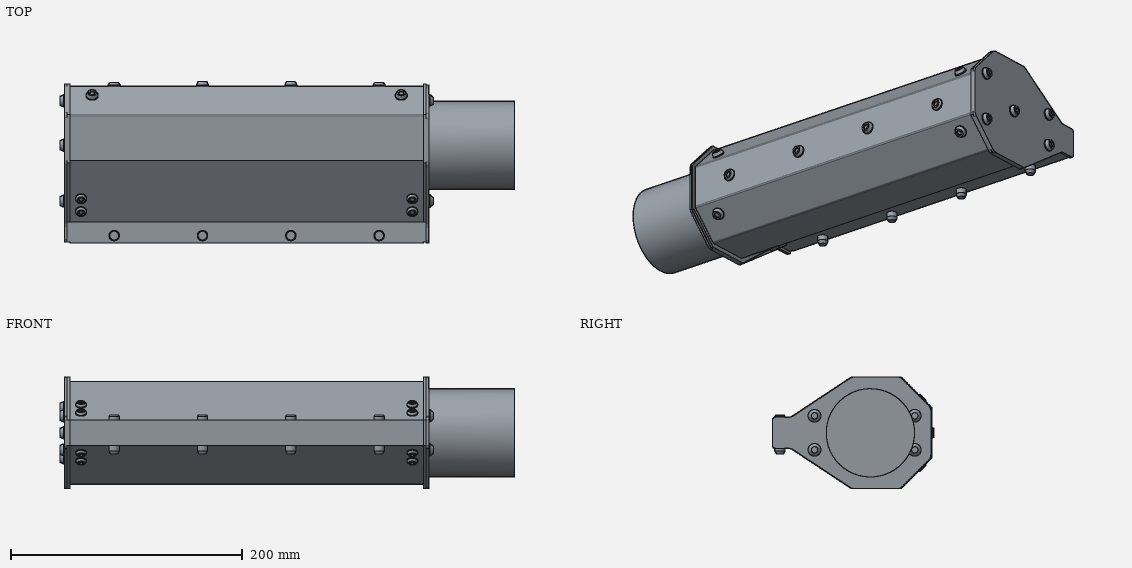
import cadquery as cq
import math

plate_thickness = 2.4
body_length = 304.8
total_length = 392.43
total_height = 96.52
body_start = 2 * plate_thickness
body_end = body_start + body_length
caps_end = body_end + 2 * plate_thickness
body_middle = (body_start + body_end) / 2

plate_half_height = total_height / 2
plate_back = 53.0
plate_tip = -83.7
plate_bevel = 26.5
cap_lip_half = 13.5
cap_lip_root = -68.0
plate_shoulder = (-15.4, plate_half_height)
body_half_height = 44.45
body_back = 51.06
body_tip = -84.6
body_bevel = 25.2
body_bend_radius = 2.0
lip_half = 11.0
lip_root = -66.4
body_shoulder = (-13.2, body_half_height)

body_half = [
    (body_back, body_half_height - body_bevel),
    (body_back - body_bevel, body_half_height),
    body_shoulder,
    (lip_root, lip_half),
    (body_tip, lip_half),
]
plate_back_half = [
    (plate_back, plate_half_height - plate_bevel),
    (plate_back - plate_bevel, plate_half_height),
    plate_shoulder,
]
flange_half = plate_back_half + [(lip_root, lip_half), (plate_tip, lip_half)]
cap_half = plate_back_half + [(cap_lip_root, cap_lip_half), (plate_tip, cap_lip_half)]
cap_corner_radius = 6.0
cap_tip_radius = 2.4
right_cap_drop = 0.9
select_margin = 1.0

tube_diameter = 76.2

M6_HEAD = (10.5, 7.6, 4.0, 1.0, 5.0)
LOW_M6_HEAD = (10.5, 7.6, 3.1, 1.0, 5.0)
M5_HEAD = (9.5, 6.5, 2.75, 0.8, 4.4)
FLANGE_HEAD = (11.0, 5.5, 4.2, 0.8, 0)
LIP_HEAD = (9.0, 7.6, 4.2, 3.2, 0)
LIP_NUT = (9.0, 6.0, 7.4, 4.5, 0)
head_height = M6_HEAD[2]
socket_depth = 1.5
head_root = 1.0
tube_end = total_length - head_height

back_screws = (38.3, 21.7)
front_screws = (-48.2, 14.7)
right_back_screws = (38.3, 14.7)
row_pitch = 76.2
row_count = 4
lip_row_y = -78.0
slope_screw_inset = 9.525
slope_screw_count = 2
slope_screw_spacing = 13.2
slope_screw_margin = 11.0
bevel_screw_inset = 19.05
bevel_screw_y = 42.5


def prism(half_outline, start, length):
    """Extrude an outline, given by its upper half, along X."""
    lower = [(y, -z) for y, z in reversed(half_outline)]
    outline = cq.Workplane("YZ", origin=(start, 0, 0)).polyline(half_outline + lower).close()
    return outline.extrude(length)


def body():
    """Housing with small bends at the bevelled back corners."""
    housing = prism(body_half, body_start, body_length)
    bend_zone = cq.selectors.BoxSelector(
        (body_start, 0, -total_height), (body_end, body_back + select_margin, total_height)
    )
    return housing.edges("|X").edges(bend_zone).fillet(body_bend_radius)


def cap(start):
    """Outer end cap with rounded corners."""
    plate = prism(cap_half, start, plate_thickness)
    plate = plate.edges("|X and <Y").fillet(cap_tip_radius)
    outline_corners = cq.selectors.BoxSelector(
        (start, cap_lip_root - select_margin, -total_height),
        (start + plate_thickness, plate_back + select_margin, total_height),
    )
    return plate.edges("|X").edges(outline_corners).fillet(cap_corner_radius)


def screw(size, base, normal):
    """Tapered screw head standing on a face at base and pointing along normal."""
    base_diameter, face_diameter, height, rim, socket = size
    plane = cq.Plane(origin=base, xDir=(1, 0, 0) if normal[0] == 0 else (0, 1, 0), normal=normal)
    half = [
        (0, -head_root),
        (base_diameter / 2, -head_root),
        (base_diameter / 2, rim),
        (face_diameter / 2, height),
        (0, height),
    ]
    head = cq.Workplane("XY").polyline(half).close().revolve(360, (0, 0, 0), (0, 1, 0))
    head = head.rotate((0, 0, 0), (1, 0, 0), 90)
    if socket:
        hexagon = cq.Workplane("XY", origin=(0, 0, height - socket_depth)).polygon(6, socket)
        head = head.cut(hexagon.extrude(socket_depth))
    return cq.Workplane(head.val().moved(cq.Location(plane)))


def row_positions():
    first = body_middle - row_pitch * (row_count - 1) / 2
    return [first + row_pitch * i for i in range(row_count)]


def end_screws():
    heads = [screw(M6_HEAD, (0, 0, 0), (-1, 0, 0))]
    for side in (1, -1):
        for y, z in (back_screws, front_screws):
            heads.append(screw(M6_HEAD, (0, y, side * z), (-1, 0, 0)))
        for y, z in (right_back_screws, front_screws):
            heads.append(screw(FLANGE_HEAD, (caps_end, y, side * z), (1, 0, 0)))
    return heads


def row_screws():
    heads = []
    positions = row_positions()
    for x in positions:
        back_head = LOW_M6_HEAD if x in (positions[0], positions[-1]) else M6_HEAD
        heads.append(screw(back_head, (x, body_back, 0), (0, 1, 0)))
        heads.append(screw(LIP_HEAD, (x, lip_row_y, lip_half), (0, 0, 1)))
        heads.append(screw(LIP_NUT, (x, lip_row_y, -lip_half), (0, 0, -1)))
    return heads


def slope_screws():
    run = body_shoulder[0] - lip_root
    rise = body_half_height - lip_half
    angle = math.atan2(rise, run)
    heads = []
    for x in (body_start + slope_screw_inset, body_end - slope_screw_inset):
        for i in range(slope_screw_count):
            distance = slope_screw_margin + slope_screw_spacing * i
            y = lip_root + distance * math.cos(angle)
            z = lip_half + distance * math.sin(angle)
            for side in (1, -1):
                normal = (0, -math.sin(angle), side * math.cos(angle))
                heads.append(screw(M5_HEAD, (x, y, side * z), normal))
    return heads


def bevel_screws():
    z = body_half_height - body_bevel + body_back - bevel_screw_y
    heads = []
    for x in (body_start + bevel_screw_inset, body_end - bevel_screw_inset):
        for side in (1, -1):
            heads.append(screw(M6_HEAD, (x, bevel_screw_y, side * z), (0, 1, side)))
    return heads


result = body()
result = result.union(prism(flange_half, plate_thickness, plate_thickness))
result = result.union(prism(flange_half, body_end, plate_thickness))
result = result.union(cap(0))
result = result.union(cap(caps_end - plate_thickness).translate((0, -right_cap_drop, 0)))
tube_length = tube_end - body_end
tube = cq.Workplane("YZ", origin=(body_end, 0, 0)).circle(tube_diameter / 2).extrude(tube_length)
result = result.union(tube)
for head in end_screws() + row_screws() + slope_screws() + bevel_screws():
    result = result.union(head)